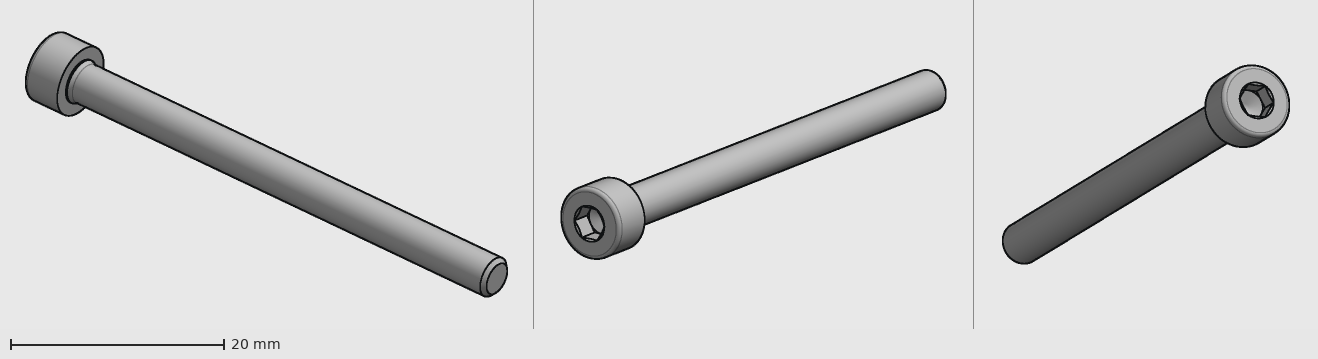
import cadquery as cq
import math

total_length = 54.0
head_diameter = 7.0
head_height = 4.0
head_edge_fillet = 0.4
shank_diameter = 4.0
tip_chamfer = 0.45
neck_collar_length = 0.15
neck_step = 0.2
neck_fillet_radius = 0.55
socket_across_flats = 3.0
socket_depth = 2.0
socket_mouth_diameter = 3.5
drill_point_angle = 120.0

head_radius = head_diameter / 2
shank_radius = shank_diameter / 2
socket_across_corners = socket_across_flats / math.cos(math.radians(30))

collar_end = head_height + neck_collar_length
neck_fillet_run = math.sqrt(neck_fillet_radius**2 - (neck_fillet_radius - neck_step) ** 2)


def make_body():
    """Revolve the head, neck and shank about the X axis."""
    profile = (
        cq.Workplane("XY")
        .lineTo(0, head_radius - head_edge_fillet)
        .radiusArc((head_edge_fillet, head_radius), head_edge_fillet)
        .lineTo(head_height, head_radius)
        .lineTo(head_height, shank_radius + neck_step)
        .lineTo(collar_end, shank_radius + neck_step)
        .radiusArc((collar_end + neck_fillet_run, shank_radius), -neck_fillet_radius)
        .lineTo(total_length - tip_chamfer, shank_radius)
        .lineTo(total_length, shank_radius - tip_chamfer)
        .lineTo(total_length, 0)
        .close()
    )
    return profile.revolve(360, (0, 0, 0), (1, 0, 0))


def make_cone(base_radius, base_x):
    """Cone with the drill point angle, narrowing toward +X."""
    height = base_radius / math.tan(math.radians(drill_point_angle / 2))
    base_center = cq.Vector(base_x, 0, 0)
    axis = cq.Vector(1, 0, 0)
    return cq.Workplane(cq.Solid.makeCone(base_radius, 0, height, base_center, axis))


def make_socket():
    """Hexagonal key socket with a countersunk mouth and a drill point at its bottom."""
    hexagon = cq.Workplane("YZ").polygon(6, socket_across_corners).extrude(socket_depth)
    countersink = make_cone(socket_mouth_diameter / 2, 0)
    drill_point = make_cone(socket_across_flats / 2, socket_depth)
    return hexagon.union(countersink).union(drill_point)


result = make_body().cut(make_socket())